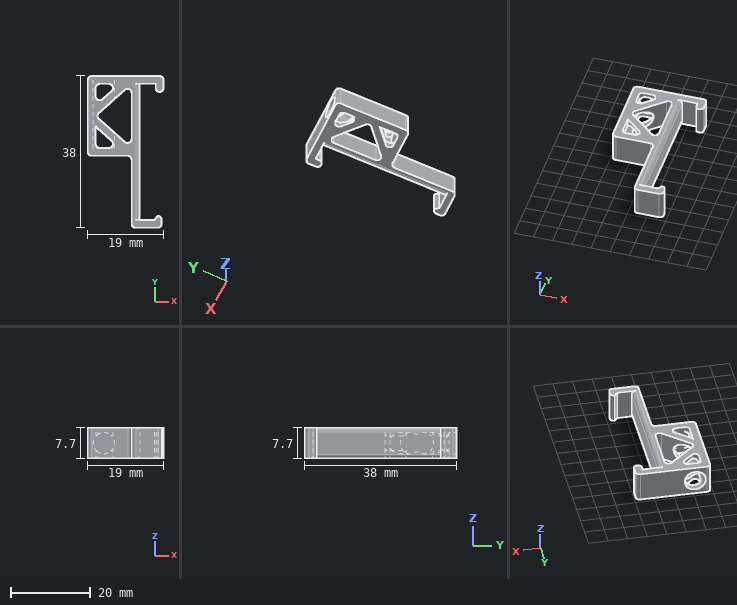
import cadquery as cq
import math

width = 19.0
length = 38.0
height = 7.7

wall = 2.0
round_radius = wall / 2

block_length = 20.0
block_front = length - block_length
spine_left = 11.0
spine_right = spine_left + wall

front_arm_end = 18.5
hook_ramp_start = 16.7
front_hook_tip = wall + round_radius
back_hook_tip = length - 2 * wall

bore_radius = 2.65
bore_x = 4.0

pocket_left = wall
pocket_front = block_front + wall
pocket_back = length - wall
pocket_middle = (pocket_front + pocket_back) / 2
truss_run = spine_left - pocket_left
truss_rise = pocket_back - pocket_middle
rib_offset = wall * math.hypot(truss_run, truss_rise) / truss_run
corner_rise = truss_rise - rib_offset
corner_run = corner_rise * truss_run / truss_rise


def prism(points):
    return cq.Workplane("XY").polyline(points).close().extrude(height)


def round_upright_edges(body, corners, radius=round_radius):
    """Round the vertical edges that stand on the given XY corners."""
    for x, y in corners:
        nearest = cq.selectors.NearestToPointSelector((x, y, height / 2))
        body = body.edges("|Z").edges(nearest).fillet(radius)
    return body


def make_spine_and_hooks():
    """C-shaped clip together with the solid block behind it."""
    hook_round_x = front_arm_end - round_radius
    back_hook_left = width - wall
    body = (
        cq.Workplane("XY")
        .moveTo(0, block_front)
        .lineTo(spine_left, block_front)
        .lineTo(spine_left, 0)
        .lineTo(front_arm_end, 0)
        .lineTo(front_arm_end, wall)
        .radiusArc((hook_round_x, front_hook_tip), -round_radius)
        .lineTo(hook_ramp_start, wall)
        .lineTo(spine_right, wall)
        .lineTo(spine_right, length - wall)
        .lineTo(back_hook_left, length - wall)
        .lineTo(back_hook_left, back_hook_tip + round_radius)
        .threePointArc(
            (width - round_radius, back_hook_tip),
            (width, back_hook_tip + round_radius),
        )
        .lineTo(width, length)
        .lineTo(0, length)
        .close()
        .extrude(height)
    )
    outer_corners = [
        (0, block_front),
        (spine_left, block_front),
        (spine_left, 0),
        (front_arm_end, 0),
        (width, length),
        (0, length),
    ]
    body = round_upright_edges(body, outer_corners)
    return round_spine_face(body)


def round_spine_face(body):
    """Round the top and bottom edges of the spine between the hooks."""
    for z in (0, height):
        edge = cq.selectors.NearestToPointSelector((spine_right, length / 2, z))
        body = body.edges("|Y").edges(edge).fillet(round_radius)
    return body


def make_pockets():
    """Three triangular pockets separated by two diagonal ribs."""
    middle = [
        (pocket_left, pocket_middle),
        (spine_left, pocket_front),
        (spine_left, pocket_back),
    ]
    back = [
        (pocket_left, pocket_back),
        (pocket_left, pocket_back - corner_rise),
        (pocket_left + corner_run, pocket_back),
    ]
    front = [
        (pocket_left, pocket_front),
        (pocket_left + corner_run, pocket_front),
        (pocket_left, pocket_front + corner_rise),
    ]
    pockets = round_upright_edges(prism(middle), middle)
    pockets = pockets.union(round_upright_edges(prism(back), back))
    return pockets.union(round_upright_edges(prism(front), front[:2]))


def make_bore():
    """Round bore from the back face into the front pocket."""
    return (
        cq.Workplane("XZ", origin=(bore_x, length, height / 2))
        .circle(bore_radius)
        .extrude(length - pocket_front)
    )


result = make_spine_and_hooks().cut(make_pockets()).cut(make_bore())